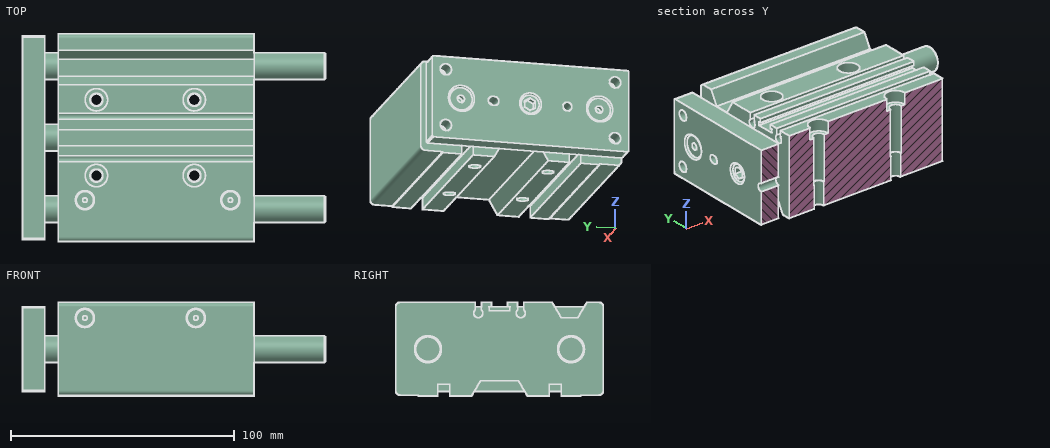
import cadquery as cq
import math


total_length = 135.5
plate_thickness = 10.0
plate_gap = 6.0
housing_length = 87.5
housing_start = plate_thickness + plate_gap
housing_end = housing_start + housing_length

housing_width = 93.0
housing_height = 42.0
half_width = housing_width / 2
top_z = housing_height / 2
bottom_z = -top_z
edge_radius = 2.0
foot_step = 0.4
foot_half_width = 36.3

dovetail_depth = 6.9
dovetail_run = dovetail_depth * math.tan(math.radians(30))
top_dovetail_y = 31.3
top_dovetail_mouth = 15.5
bottom_dovetail_mouth = 24.9

sensor_slot_y = 9.5
sensor_slot_neck = 2.7
sensor_slot_diameter = 4.0
sensor_slot_axis_depth = 4.9
t_slot_mouth = 7.0
t_slot_width = 9.2
t_slot_lip = 2.0
t_slot_depth = 3.8
bottom_slot_y = 24.9
bottom_slot_width = 5.3
bottom_slot_depth = 5.4

mount_x = (33.0, 76.8)
mount_y = 17.0
mount_diameter = 5.8
mount_bore_diameter = 10.0
mount_bore_depth = 6.0
mount_pilot_diameter = 5.3
mount_pilot_length = 12.2
port_diameter = 8.5
port_inner_diameter = 7.7
port_depth = 10.8
port_feed_diameter = 2.0
port_feed_depth = 2.7
top_port_x = (27.9, 93.0)
top_port_y = -27.9
side_port_x = (27.9, 77.5)
side_port_z = 14.0

plate_width = 91.0
plate_height = 38.0
plate_chamfer = 0.5
guide_rod_diameter = 12.0
guide_rod_y = 32.0
rod_chamfer = 0.5
piston_rod_diameter = 12.0
piston_rod_end = housing_start + housing_length / 2
recess_depth = 0.8
guide_recess_diameter = 12.0
piston_recess_diameter = 10.0
guide_hole_diameter = 3.3
piston_hex_flats = 5.0
rod_end_hole_depth = 4.0
corner_hole_diameter = 5.1
corner_hole_y = 39.2
corner_hole_z = 13.0
pin_hole_diameter = 4.0
pin_hole_y = 17.1
pin_slot_length = 4.9


def yz_plane(x):
    """Sketch plane across the motion axis: local x is +Y, local y is +Z, extruding toward +X."""
    return cq.Workplane("YZ", origin=(x, 0, 0))


def housing_prism(points):
    """A closed Y-Z outline extruded over the length of the housing."""
    return yz_plane(housing_start).polyline(points).close().extrude(housing_length)


def housing_bar(y, z_low, z_high, width):
    """A rectangular bar over the length of the housing, centred on y."""
    half = width / 2
    return housing_prism([(y - half, z_low), (y + half, z_low), (y + half, z_high), (y - half, z_high)])


def dovetail(y, face_z, inward, mouth):
    """A groove that narrows from its mouth on a face; inward is +1 or -1 along Z."""
    half = mouth / 2
    floor_half = half - dovetail_run
    floor_z = face_z + inward * dovetail_depth
    return housing_prism([
        (y - half, face_z), (y + half, face_z), (y + floor_half, floor_z), (y - floor_half, floor_z),
    ])


def sensor_slot(y):
    """A narrow neck that opens into a round channel."""
    axis_z = top_z - sensor_slot_axis_depth
    channel = yz_plane(housing_start).center(y, axis_z).circle(sensor_slot_diameter / 2).extrude(housing_length)
    return channel.union(housing_bar(y, axis_z, top_z, sensor_slot_neck))


def t_slot():
    """The central slot, undercut below its lips."""
    mouth = housing_bar(0, top_z - t_slot_depth, top_z, t_slot_mouth)
    undercut = housing_bar(0, top_z - t_slot_depth, top_z - t_slot_lip, t_slot_width)
    return mouth.union(undercut)


def mounting_hole(x, y):
    """A counterbored hole through the housing, narrowing near the underside."""
    top = cq.Workplane("XY", origin=(x, y, top_z))
    bore = top.circle(mount_bore_diameter / 2).extrude(-mount_bore_depth)
    shank = top.circle(mount_diameter / 2).extrude(mount_pilot_length - housing_height)
    pilot = top.circle(mount_pilot_diameter / 2).extrude(-housing_height)
    return bore.union(shank).union(pilot)


def air_port(face):
    """A tapered port with a small feed hole, into a plane whose normal points out of the housing."""
    taper = (
        face.circle(port_diameter / 2)
        .workplane(offset=-port_depth).circle(port_inner_diameter / 2).loft()
    )
    feed = face.circle(port_feed_diameter / 2).extrude(-(port_depth + port_feed_depth))
    return taper.union(feed)


def x_rod(diameter, y, start, end):
    """A round bar along X at height Z = 0."""
    return yz_plane(start).center(y, 0).circle(diameter / 2).extrude(end - start)


def make_housing():
    body = housing_bar(0, bottom_z, top_z, housing_width)

    strip_width = half_width - foot_half_width
    for side in (-1, 1):
        strip_y = side * (foot_half_width + strip_width / 2)
        body = body.cut(housing_bar(strip_y, bottom_z, bottom_z + foot_step, strip_width))
    body = body.edges("|X and (<Y or >Y)").fillet(edge_radius)

    body = body.cut(dovetail(top_dovetail_y, top_z, -1, top_dovetail_mouth))
    body = body.cut(dovetail(0, bottom_z, 1, bottom_dovetail_mouth))
    body = body.cut(t_slot())
    for side in (-1, 1):
        body = body.cut(sensor_slot(side * sensor_slot_y))
        body = body.cut(
            housing_bar(side * bottom_slot_y, bottom_z, bottom_z + bottom_slot_depth, bottom_slot_width)
        )

    for x in mount_x:
        for y in (-mount_y, mount_y):
            body = body.cut(mounting_hole(x, y))

    port_faces = [cq.Workplane("XY", origin=(x, top_port_y, top_z)) for x in top_port_x]
    port_faces += [cq.Workplane("XZ", origin=(x, -half_width, side_port_z)) for x in side_port_x]
    for face in port_faces:
        body = body.cut(air_port(face))

    body = body.cut(x_rod(piston_rod_diameter, 0, housing_start, piston_rod_end))
    for side in (-1, 1):
        body = body.cut(x_rod(guide_rod_diameter, side * guide_rod_y, housing_start, housing_end))
    return body


def conical_recess(y, diameter):
    """A shallow 45 degree recess in the plate's outer face."""
    floor_radius = diameter / 2 - recess_depth
    return (
        yz_plane(0).center(y, 0).circle(diameter / 2)
        .workplane(offset=recess_depth).circle(floor_radius).loft()
    )


def piston_hex_socket():
    """A hexagonal socket with corners at the top and bottom."""
    corner_radius = piston_hex_flats / math.sqrt(3)
    corners = []
    for i in range(6):
        angle = math.radians(30 + 60 * i)
        corners.append((corner_radius * math.cos(angle), corner_radius * math.sin(angle)))
    return yz_plane(0).polyline(corners).close().extrude(recess_depth + rod_end_hole_depth)


def make_moving_unit():
    body = yz_plane(0).rect(plate_width, plate_height).extrude(plate_thickness)
    body = body.edges("|X").chamfer(plate_chamfer)

    corner_points = [(y, z) for y in (-corner_hole_y, corner_hole_y) for z in (-corner_hole_z, corner_hole_z)]
    body = body.cut(
        yz_plane(0).pushPoints(corner_points).circle(corner_hole_diameter / 2).extrude(plate_thickness)
    )
    body = body.cut(x_rod(pin_hole_diameter, -pin_hole_y, 0, plate_thickness))
    body = body.cut(
        yz_plane(0).center(pin_hole_y, 0).slot2D(pin_slot_length, pin_hole_diameter).extrude(plate_thickness)
    )

    body = body.union(x_rod(piston_rod_diameter, 0, plate_thickness, piston_rod_end))
    for side in (-1, 1):
        rod = x_rod(guide_rod_diameter, side * guide_rod_y, plate_thickness, total_length)
        body = body.union(rod.faces(">X").chamfer(rod_chamfer))

    body = body.cut(conical_recess(0, piston_recess_diameter))
    body = body.cut(piston_hex_socket())
    for side in (-1, 1):
        y = side * guide_rod_y
        body = body.cut(conical_recess(y, guide_recess_diameter))
        body = body.cut(x_rod(guide_hole_diameter, y, 0, recess_depth + rod_end_hole_depth))
    return body


housing = make_housing()
moving_unit = make_moving_unit()

result = cq.Compound.makeCompound([housing.val(), moving_unit.val()])